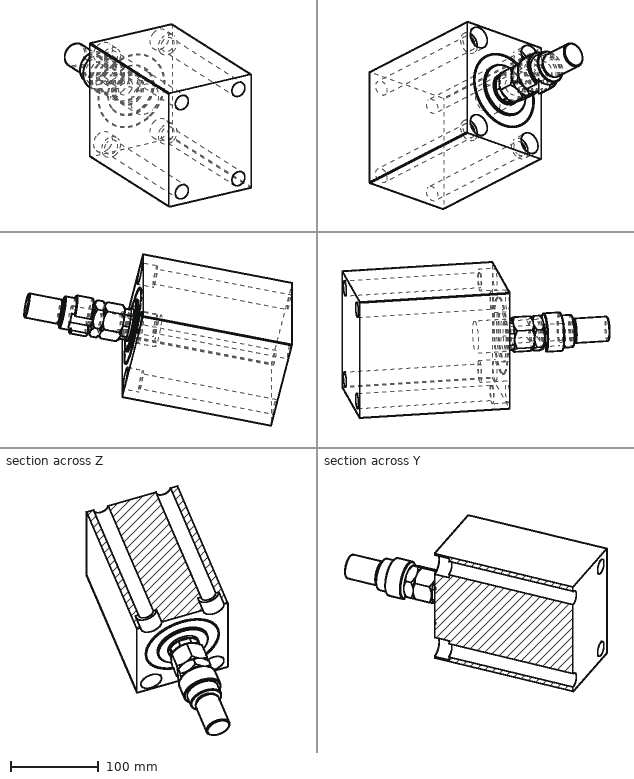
import cadquery as cq
import math

TOTAL_LENGTH = 297.5

HOUSING_LENGTH = 173.7
HOUSING_WIDTH = 110.0
HOUSING_HEIGHT = 140.0
HOUSING_EDGE_CHAMFER = 1.0

BOSS_DIAMETER = 60.7
BOSS_HEIGHT = 2.7
BOSS_CHAMFER = 1.0
GROOVE_OUTER_DIAMETER = 88.7
GROOVE_WIDTH = 1.0
GROOVE_DEPTH = 1.0

MOUNT_SPACING_Y = 75.3
MOUNT_SPACING_Z = 110.0
MOUNT_HOLE_DIAMETER = 17.3
MOUNT_BORE_DIAMETER = 25.0
MOUNT_BORE_DEPTH = 17.8

ROD_DIAMETER = 37.0
ROD_SHOULDER = 2.7
ROD_NECK_LENGTH = 7.5
ROD_NECK_DIAMETER = 35.0
ROD_NECK_FLATS = 32.5
ROD_DEPTH_IN_HOUSING = 29.8

HEX_FLATS = 36.5
HEX_CHAMFER_DIAMETER = 37.0
HEX_CHAMFER_LENGTH = 2.7
NUT_LENGTH = 23.0
PIN_HEX_LENGTH = 11.5
PIN_NECK_DIAMETER = 19.0
PIN_GAP = 2.7

COLLAR_DIAMETER = 44.3
COLLAR_LENGTH = 19.5
FLANGE_DIAMETER = 37.2
FLANGE_LENGTH = 12.8
RELIEF_DIAMETER = 24.7
RELIEF_LENGTH = 1.8
STEM_DIAMETER = 28.3
STEM_CHAMFER = 1.2
COUPLING_CHAMFER = 1.0
SLOT_WIDTH = PIN_NECK_DIAMETER
SLOT_LIP = 3.3

SHOULDER_X = -BOSS_HEIGHT - ROD_SHOULDER
NECK_END_X = SHOULDER_X - ROD_NECK_LENGTH
NUT_END_X = NECK_END_X - NUT_LENGTH
PIN_HEX_END_X = NUT_END_X - PIN_HEX_LENGTH
COLLAR_BACK_X = PIN_HEX_END_X - PIN_GAP
COLLAR_FRONT_X = COLLAR_BACK_X - COLLAR_LENGTH
FLANGE_FRONT_X = COLLAR_FRONT_X - FLANGE_LENGTH
STEM_BACK_X = FLANGE_FRONT_X - RELIEF_LENGTH
TIP_X = HOUSING_LENGTH - TOTAL_LENGTH
SLOT_FRONT_X = COLLAR_FRONT_X - SLOT_LIP


def plane_at(x):
    """YZ plane at the given X, facing +X."""
    return cq.Workplane("YZ", origin=(x, 0, 0))


def cylinder(start_x, end_x, diameter):
    return plane_at(start_x).circle(diameter / 2).extrude(end_x - start_x)


def chamfered_hex(start_x, length):
    """Hexagon with corners on +Z and -Z, its corners turned off conically at both ends."""
    corner_diameter = HEX_FLATS / math.cos(math.pi / 6)
    prism = plane_at(start_x).polygon(6, corner_diameter).extrude(length)
    prism = prism.rotate((0, 0, 0), (1, 0, 0), 90)
    corner_depth = (corner_diameter - HEX_CHAMFER_DIAMETER) / 2
    turned = cylinder(start_x, start_x + length, corner_diameter)
    turned = turned.edges().chamfer(HEX_CHAMFER_LENGTH, corner_depth)
    return prism.intersect(turned)


def make_housing():
    block = plane_at(0).rect(HOUSING_WIDTH, HOUSING_HEIGHT).extrude(HOUSING_LENGTH)
    block = block.edges("|X").chamfer(HOUSING_EDGE_CHAMFER)
    boss = cylinder(-BOSS_HEIGHT, 0, BOSS_DIAMETER).faces("<X").chamfer(BOSS_CHAMFER)
    groove = cylinder(0, GROOVE_DEPTH, GROOVE_OUTER_DIAMETER)
    groove = groove.cut(cylinder(0, GROOVE_DEPTH, GROOVE_OUTER_DIAMETER - 2 * GROOVE_WIDTH))
    mounts = plane_at(0).rect(MOUNT_SPACING_Y, MOUNT_SPACING_Z, forConstruction=True).vertices()
    holes = mounts.circle(MOUNT_HOLE_DIAMETER / 2).extrude(HOUSING_LENGTH)
    bores = mounts.circle(MOUNT_BORE_DIAMETER / 2).extrude(MOUNT_BORE_DEPTH)
    rod_bore = cylinder(-BOSS_HEIGHT, ROD_DEPTH_IN_HOUSING, ROD_DIAMETER)
    return block.union(boss).cut(groove).cut(holes).cut(bores).cut(rod_bore)


def make_rod():
    """Round rod whose neck carries four wrench flats."""
    shaft = cylinder(SHOULDER_X, ROD_DEPTH_IN_HOUSING, ROD_DIAMETER)
    neck = cylinder(NECK_END_X, SHOULDER_X, ROD_NECK_DIAMETER)
    flats = plane_at(NECK_END_X).rect(ROD_NECK_FLATS, ROD_NECK_FLATS).extrude(ROD_NECK_LENGTH)
    return shaft.union(neck.intersect(flats))


def make_lock_nut():
    nut = chamfered_hex(NUT_END_X, NUT_LENGTH)
    return nut.cut(cylinder(NUT_END_X, NECK_END_X, PIN_NECK_DIAMETER))


def make_coupling_pin():
    """Hexagon on a round shank that reaches into the coupling slot and through the lock nut."""
    hexagon = chamfered_hex(PIN_HEX_END_X, PIN_HEX_LENGTH)
    return hexagon.union(cylinder(SLOT_FRONT_X, NECK_END_X, PIN_NECK_DIAMETER))


def make_coupling():
    collar = cylinder(COLLAR_FRONT_X, COLLAR_BACK_X, COLLAR_DIAMETER).edges().chamfer(COUPLING_CHAMFER)
    flange = cylinder(FLANGE_FRONT_X, COLLAR_FRONT_X, FLANGE_DIAMETER)
    flange = flange.faces("<X").chamfer(COUPLING_CHAMFER)
    relief = cylinder(STEM_BACK_X, FLANGE_FRONT_X, RELIEF_DIAMETER)
    stem = cylinder(TIP_X, STEM_BACK_X, STEM_DIAMETER).edges().chamfer(STEM_CHAMFER)
    slot_length = COLLAR_BACK_X - SLOT_FRONT_X
    slot = plane_at(SLOT_FRONT_X).center(0, -COLLAR_DIAMETER / 2).rect(SLOT_WIDTH, COLLAR_DIAMETER)
    slot = slot.extrude(slot_length).union(cylinder(SLOT_FRONT_X, COLLAR_BACK_X, SLOT_WIDTH))
    return collar.union(flange).union(relief).union(stem).cut(slot)


housing = make_housing()
rod = make_rod()
lock_nut = make_lock_nut()
coupling_pin = make_coupling_pin()
coupling = make_coupling()

result = cq.Compound.makeCompound(
    [housing.val(), rod.val(), lock_nut.val(), coupling_pin.val(), coupling.val()]
)